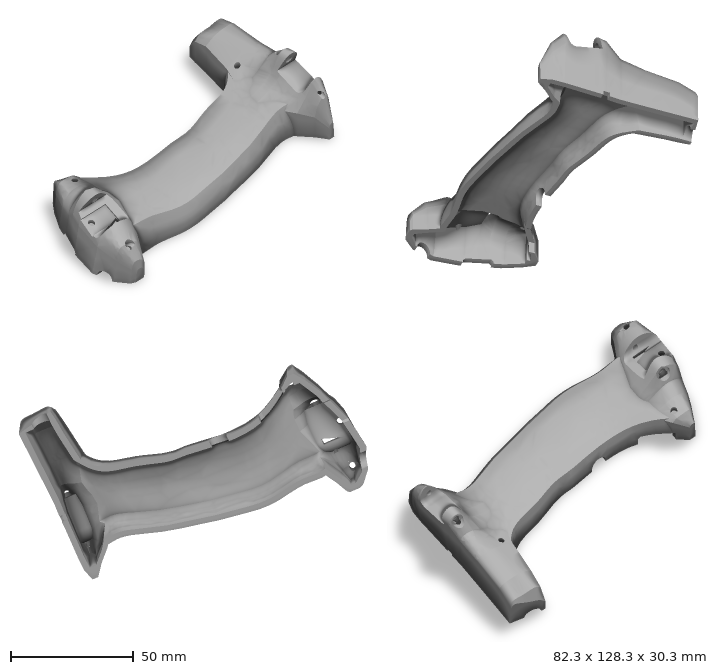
import cadquery as cq
import math

WALL = 2.6
OVERRUN = 1.3
LENGTH = 128.3

HANDLE_STATIONS = [
    (15.9, 27.0, 64.2, 14.6, 14.9),
    (20.5, 29.3, 71.6, 14.9, 15.1),
    (27.0, 33.6, 71.6, 14.1, 14.6),
    (39.8, 38.6, 73.0, 11.8, 13.5),
    (53.9, 39.0, 73.3, 11.0, 13.5),
    (68.0, 37.5, 71.1, 11.0, 13.5),
    (82.1, 35.3, 68.1, 11.5, 13.5),
    (96.3, 31.7, 64.3, 12.5, 13.6),
    (106.5, 26.3, 61.3, 14.0, 14.4),
    (110.4, 21.2, 61.3, 15.1, 15.5),
    (115.5, 16.7, 61.9, 15.4, 15.9),
]
LEFT_CREASE_INSET = 2.5
RIGHT_CREASE_INSET = 3.9
LEFT_SIDE_BULGE = 0.5
RIGHT_SIDE_BULGE = 0.9

LOWER_HEAD_STATIONS = [
    (26.2, (17.0, 10.8), (16.4, 11.8), (15.5, 12.3), (14.4, 9.5), 14.0),
    (30.8, (22.3, 14.1), (20.0, 15.7), (17.2, 15.9), (11.8, 10.0), 10.8),
    (38.5, (27.0, 12.8), (22.2, 15.7), (16.4, 17.6), (8.3, 11.3), 6.8),
    (44.3, (28.2, 12.8), (22.2, 16.2), (15.4, 19.8), (6.7, 12.6), 5.0),
    (48.4, (28.2, 12.8), (20.9, 20.3), (14.5, 26.0), (5.4, 15.4), 3.6),
    (53.9, (28.2, 12.8), (20.9, 20.3), (14.4, 26.3), (3.9, 15.4), 1.7),
    (66.7, (23.1, 12.8), (19.5, 18.2), (13.7, 22.3), (2.8, 13.5), 0.0),
    (76.2, (17.7, 11.5), (15.9, 15.4), (10.8, 17.3), (4.7, 11.3), 3.5),
    (81.4, (15.4, 7.7), (14.4, 9.8), (11.8, 11.0), (8.7, 7.5), 8.0),
    (82.3, (14.4, 5.0), (13.6, 6.2), (12.2, 6.8), (10.5, 4.5), 10.0),
]
UPPER_HEAD_STATIONS = [
    (0.0, (110.9, 6.4), (113.0, 9.0), (120.0, 10.3), (126.0, 8.3), 126.7),
    (3.9, (110.4, 12.2), (112.4, 14.6), (120.6, 15.9), (125.9, 12.8), 126.7),
    (11.2, (109.9, 15.4), (112.4, 17.3), (121.3, 19.6), (125.8, 16.7), 126.5),
    (26.2, (108.0, 15.1), (113.0, 17.8), (122.6, 21.0), (125.8, 18.6), 126.3),
    (37.2, (105.2, 13.3), (114.6, 17.5), (123.2, 23.1), (126.2, 19.9), 126.2),
    (43.9, (104.0, 13.3), (116.5, 20.5), (123.7, 29.9), (127.3, 25.7), 126.5),
    (48.1, (104.0, 13.3), (116.5, 20.5), (124.0, 30.3), (128.1, 25.7), 126.5),
    (62.9, (114.2, 13.3), (119.4, 20.5), (124.5, 27.2), (128.3, 19.9), 127.0),
    (68.0, (119.2, 11.5), (120.9, 17.3), (124.5, 21.0), (126.9, 14.8), 126.9),
    (72.9, (123.0, 6.4), (123.3, 8.3), (124.2, 9.0), (125.1, 6.4), 125.5),
]

SEAT_WIDTH = 14.9
SEAT_CORNER_RADIUS = 3.0
LOWER_SEAT_CORNER = (51.5, 20.0)
LOWER_SEAT_TILT = 17.0
LOWER_SEAT_Y = (-OVERRUN, 30.8)
LOWER_RECESS_X = (3.2, SEAT_WIDTH - SEAT_CORNER_RADIUS)
LOWER_RECESS_Y = (-OVERRUN, 17.8)
LOWER_RECESS_DEPTH = 0.8
UPPER_SEAT_CORNER = (46.2, 22.8)
UPPER_SEAT_TILT = 14.0
UPPER_SEAT_Y = (107.8, LENGTH + OVERRUN)

LUG_CLEARANCE_DIAMETER = 3.3
LUG_PILOT_DIAMETER = 2.5
LOWER_LUG_POINT = (48.3, 14.4, 23.2)
LOWER_LUG_HEAD_DIAMETER = 6.2
LOWER_LUG_SCREW_LENGTH = 22.5
UPPER_LUG_POINT = (43.1, 123.6, 27.3)
UPPER_LUG_HEAD_DIAMETER = 5.4
UPPER_LUG_SCREW_LENGTH = 28.2
LUG_CLEARANCE_LENGTH = 7.7

VERTICAL_HOLES = [(28.7, 111.5, 2.6), (34.0, 19.1, 2.8), (57.6, 7.6, 2.8), (76.9, 10.8, 2.6)]
TIP_RECESS_CENTER = (77.1, 11.8)
TIP_RECESS_DIAMETER = 4.6
TIP_RECESS_FLOOR = 15.4

SEAT_OPENING = [(61.1, 17.6), (63.9, 17.6), (63.9, 9.0)]

END_FOOT_Y = 112.3
END_TOP = (3.2, 126.7)
END_TRIM_MARGIN = 6.4

CABLE_RADIUS = 3.7
CABLE_ARCH_Y = 53.8
CABLE_ARCH_HEIGHT = 5.3
ARM_ARCH_Y = 116.5
FRONT_ARCH_X = 72.0
FRONT_ARCH_RADIUS = 3.3
FRONT_ARCH_DEPTH = 10.3
SIDE_WINDOW_Y = (21.2, 34.9)
SIDE_WINDOW_HEIGHT = 5.3
SIDE_WINDOW_CHAMFER = 1.3
ARM_OPENING_X = (-OVERRUN, 11.5)
HANDLE_OPENING_X = (16.7, 51.3)
EDGE_NOTCH_X = (42.5, 54.3)
EDGE_NOTCH_HEIGHT = 1.8
EDGE_NOTCH_DEPTH = 12.8
REAR_NOTCH_WIDTH = 3.0


def handle(wall):
    """Handle loft; a positive wall gives the matching cavity, open at the parting face."""
    base = -OVERRUN if wall else 0.0
    sections = []
    for y, left, right, crease, crown in HANDLE_STATIONS:
        left += wall
        right -= wall
        crease -= wall
        crown -= wall
        left_top = left + LEFT_CREASE_INSET
        right_top = right - RIGHT_CREASE_INSET
        section = (
            cq.Workplane("XZ", origin=(0, y, 0))
            .moveTo(left, base)
            .threePointArc((left + LEFT_SIDE_BULGE, crease / 2), (left_top, crease))
            .threePointArc(((left_top + right_top) / 2, crown), (right_top, crease))
            .threePointArc((right - RIGHT_SIDE_BULGE, crease / 2), (right, base))
            .close()
        )
        sections.append(section.val())
    return cq.Workplane(cq.Solid.makeLoft(sections))


def head(stations, toward_handle, wall):
    """Head loft along X; toward_handle is the Y direction (+1 or -1) of the near side."""
    base = -OVERRUN if wall else 0.0
    sections = []
    last = len(stations) - 1
    for index, (x, near, mid, ridge, shoulder, foot) in enumerate(stations):
        if wall and index in (0, last):
            continue
        shift = toward_handle * wall
        x = min(max(x, stations[0][0] + wall), stations[last][0] - wall)
        near_y = near[0] - shift
        foot_y = foot + shift
        shoulder_y = shoulder[0] + shift
        shoulder_z = shoulder[1] - wall / 2
        crest = [(mid[0] - shift / 2, mid[1] - wall), (ridge[0], ridge[1] - wall), (shoulder_y, shoulder_z)]
        start_slope = (mid[0] - near[0], mid[1] - near[1])
        end_slope = (foot_y - shoulder_y, base - shoulder_z)
        section = (
            cq.Workplane("YZ", origin=(x, 0, 0))
            .moveTo(near_y, base)
            .lineTo(near_y, near[1] - wall)
            .spline(crest, tangents=[start_slope, end_slope], includeCurrent=True)
            .lineTo(foot_y, base)
            .close()
        )
        sections.append(section.val())
    return cq.Workplane(cq.Solid.makeLoft(sections, True))


def shell_form(wall):
    """Handle and both heads together; a positive wall gives the cavity."""
    return (
        handle(wall)
        .union(head(LOWER_HEAD_STATIONS, 1, wall))
        .union(head(UPPER_HEAD_STATIONS, -1, wall))
    )


def box_between(x_range, y_range, z_range):
    """Axis-aligned box given by its limits along X, Y and Z."""
    size_x = x_range[1] - x_range[0]
    size_y = y_range[1] - y_range[0]
    size_z = z_range[1] - z_range[0]
    box = cq.Workplane("XY").box(size_x, size_y, size_z, centered=False)
    return box.translate((x_range[0], y_range[0], z_range[0]))


def seat(corner, tilt, y_range, growth):
    """Tilted slot with a rounded right floor corner; growth thickens it on every face."""
    x, z = corner
    width = SEAT_WIDTH + 2 * growth
    slot = (
        box_between((-growth, width - growth), y_range, (-growth, LENGTH))
        .edges(">X and <Z")
        .fillet(SEAT_CORNER_RADIUS + growth)
    )
    return slot.rotate((0, 0, 0), (0, 1, 0), tilt).translate((x, 0, z))


def lower_seat(growth):
    return seat(LOWER_SEAT_CORNER, LOWER_SEAT_TILT, LOWER_SEAT_Y, growth)


def upper_seat(growth):
    return seat(UPPER_SEAT_CORNER, UPPER_SEAT_TILT, UPPER_SEAT_Y, growth)


def lower_seat_recess():
    """Shallow step in the lower seat floor."""
    x, z = LOWER_SEAT_CORNER
    recess = box_between(LOWER_RECESS_X, LOWER_RECESS_Y, (-LOWER_RECESS_DEPTH, OVERRUN))
    return recess.rotate((0, 0, 0), (0, 1, 0), LOWER_SEAT_TILT).translate((x, 0, z))


def lug_screw(point, tilt, head_diameter, length):
    """Counterbore, clearance hole and pilot hole along the tilted screw axis."""
    start = cq.Vector(*point)
    slope = math.radians(tilt)
    axis = cq.Vector(math.cos(slope), 0, -math.sin(slope))
    counterbore = cq.Solid.makeCylinder(head_diameter / 2, LENGTH, start, axis * -1)
    clearance = cq.Solid.makeCylinder(LUG_CLEARANCE_DIAMETER / 2, LUG_CLEARANCE_LENGTH, start, axis)
    pilot = cq.Solid.makeCylinder(LUG_PILOT_DIAMETER / 2, length, start, axis)
    return cq.Workplane(counterbore).union(cq.Workplane(clearance)).union(cq.Workplane(pilot))


def vertical_holes():
    """Holes along Z, with a recess around the one nearest the lower head's tip."""
    x, y = TIP_RECESS_CENTER
    cutters = (
        cq.Workplane("XY", origin=(x, y, TIP_RECESS_FLOOR))
        .circle(TIP_RECESS_DIAMETER / 2)
        .extrude(LENGTH)
    )
    for hole_x, hole_y, diameter in VERTICAL_HOLES:
        hole = cq.Workplane("XY", origin=(hole_x, hole_y, -OVERRUN)).circle(diameter / 2).extrude(LENGTH)
        cutters = cutters.union(hole)
    return cutters


def end_trim():
    """Everything beyond the slanted end face of the upper head."""
    slant = END_TOP[0] / (END_TOP[1] - END_FOOT_Y)
    low_y = END_FOOT_Y - END_TRIM_MARGIN
    high_y = END_TOP[1] + END_TRIM_MARGIN
    outline = [
        (slant * (low_y - END_FOOT_Y), low_y),
        (slant * (high_y - END_FOOT_Y), high_y),
        (-END_TRIM_MARGIN, high_y),
        (-END_TRIM_MARGIN, low_y),
    ]
    return cq.Workplane("XY", origin=(0, 0, -OVERRUN)).polyline(outline).close().extrude(LENGTH)


def side_arch(y, x_range, height):
    """Round-topped opening along X, with straight sides below the arch."""
    length = x_range[1] - x_range[0]
    spring = height - CABLE_RADIUS
    bore = cq.Workplane("YZ", origin=(x_range[0], y, spring)).circle(CABLE_RADIUS).extrude(length)
    sides = box_between(x_range, (y - CABLE_RADIUS, y + CABLE_RADIUS), (-OVERRUN, spring))
    return bore.union(sides)


def parting_face_openings():
    arm_arch = side_arch(ARM_ARCH_Y, ARM_OPENING_X, CABLE_RADIUS)
    cable_arch = side_arch(CABLE_ARCH_Y, HANDLE_OPENING_X, CABLE_ARCH_HEIGHT)
    side_window = (
        box_between(HANDLE_OPENING_X, SIDE_WINDOW_Y, (-OVERRUN, SIDE_WINDOW_HEIGHT))
        .edges(">Y and >Z")
        .chamfer(SIDE_WINDOW_CHAMFER)
    )
    front_arch = (
        cq.Workplane("XZ", origin=(FRONT_ARCH_X, -OVERRUN, 0))
        .circle(FRONT_ARCH_RADIUS)
        .extrude(-FRONT_ARCH_DEPTH)
    )
    edge_notch = (
        box_between(EDGE_NOTCH_X, (-OVERRUN, EDGE_NOTCH_DEPTH), (0, EDGE_NOTCH_HEIGHT))
        .edges("|Y and >Z")
        .chamfer(EDGE_NOTCH_HEIGHT / 2)
    )
    rear_notch = box_between(
        (EDGE_NOTCH_X[0], EDGE_NOTCH_X[0] + REAR_NOTCH_WIDTH),
        (LENGTH - EDGE_NOTCH_DEPTH, LENGTH),
        (0, EDGE_NOTCH_HEIGHT),
    )
    return arm_arch.union(cable_arch).union(side_window).union(front_arch).union(edge_notch).union(rear_notch)


cavity = shell_form(WALL).cut(lower_seat(WALL)).cut(upper_seat(WALL))
seat_opening = cq.Workplane("XY").polyline(SEAT_OPENING).close().extrude(LENGTH)

cutters = [
    cavity,
    lower_seat(0.0),
    upper_seat(0.0),
    lower_seat_recess(),
    lug_screw(LOWER_LUG_POINT, LOWER_SEAT_TILT, LOWER_LUG_HEAD_DIAMETER, LOWER_LUG_SCREW_LENGTH),
    lug_screw(UPPER_LUG_POINT, UPPER_SEAT_TILT, UPPER_LUG_HEAD_DIAMETER, UPPER_LUG_SCREW_LENGTH),
    vertical_holes(),
    seat_opening,
    end_trim(),
    parting_face_openings(),
]
result = shell_form(0.0)
for cutter in cutters:
    result = result.cut(cutter, clean=False)